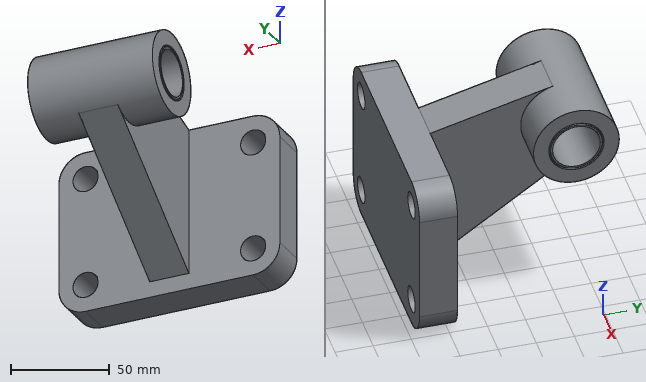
import cadquery as cq
import math

plate_width = 124.0
plate_height = 90.0
plate_thickness = 20.0
corner_radius = 15.0
bolt_diameter = 14.0
bolt_inset = corner_radius

barrel_diameter = 45.0
barrel_radius = barrel_diameter / 2
barrel_length = 70.0
overall_depth = 112.5
overall_height = 107.5
barrel_y = overall_depth - barrel_radius
barrel_z = overall_height - barrel_radius

bore_diameter = 25.0
bushing_diameter = 28.0
groove_bevel = 0.5

web_thickness = 22.0
web_foot_z = 8.8


def tangent_point(y, z, side):
    """Point where the line from (y, z) touches the barrel; side is +1 above, -1 below."""
    dy = y - barrel_y
    dz = z - barrel_z
    toward_start = math.atan2(dz, dy)
    swing = math.acos(barrel_radius / math.hypot(dy, dz))
    angle = toward_start - side * swing
    return (
        barrel_y + barrel_radius * math.cos(angle),
        barrel_z + barrel_radius * math.sin(angle),
    )


def make_plate():
    bolt_pattern_width = plate_width - 2 * bolt_inset
    bolt_pattern_height = plate_height - 2 * bolt_inset
    return (
        cq.Workplane("XZ", origin=(0, plate_thickness, plate_height / 2))
        .rect(plate_width, plate_height)
        .extrude(plate_thickness)
        .edges("|Y")
        .fillet(corner_radius)
        .faces("<Y")
        .workplane(centerOption="CenterOfBoundBox")
        .rect(bolt_pattern_width, bolt_pattern_height, forConstruction=True)
        .vertices()
        .hole(bolt_diameter)
    )


def make_web():
    """Tapered web whose sloping sides run tangent to the barrel."""
    top = (plate_thickness, plate_height)
    foot = (plate_thickness, web_foot_z)
    outline = [
        foot,
        top,
        tangent_point(*top, 1),
        (barrel_y, barrel_z),
        tangent_point(*foot, -1),
    ]
    return (
        cq.Workplane("YZ", origin=(-web_thickness / 2, 0, 0))
        .polyline(outline)
        .close()
        .extrude(web_thickness)
    )


def barrel_cylinder(diameter):
    return (
        cq.Workplane("YZ", origin=(-barrel_length / 2, barrel_y, barrel_z))
        .circle(diameter / 2)
        .extrude(barrel_length)
    )


def make_bevel_groove():
    """V-shaped ring between barrel and bushing, cut into the -X end of the barrel."""
    end_x = -barrel_length / 2
    joint_y = barrel_y + bushing_diameter / 2
    profile = [
        (end_x, joint_y - groove_bevel),
        (end_x, joint_y + groove_bevel),
        (end_x + groove_bevel, joint_y),
    ]
    return (
        cq.Workplane("XY", origin=(0, 0, barrel_z))
        .polyline(profile)
        .close()
        .revolve(360, (0, barrel_y), (1, barrel_y))
    )


bevel_groove = make_bevel_groove()
result = (
    make_plate()
    .union(make_web())
    .union(barrel_cylinder(barrel_diameter))
    .cut(barrel_cylinder(bore_diameter))
    .cut(bevel_groove)
    .cut(bevel_groove.mirror("YZ"))
)